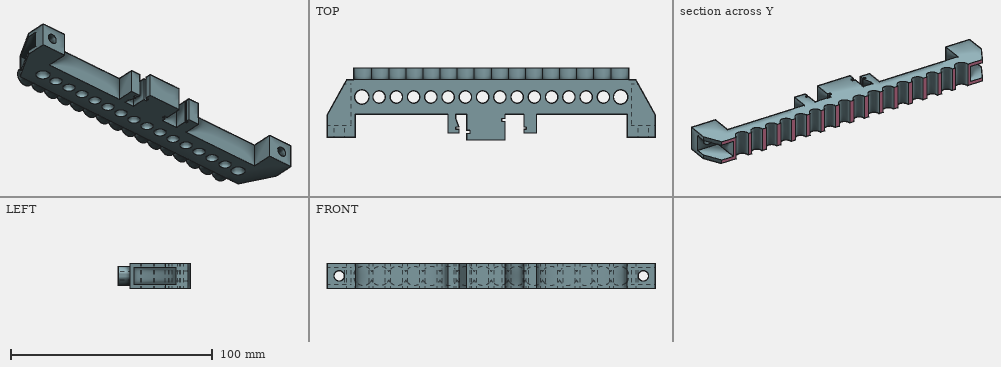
import cadquery as cq

LENGTH = 163.0
TOTAL_DEPTH = 35.9
THICKNESS = 12.5
BLOCK_DROP = 12.7
SCREW_RISE = 5.9
BAR_DEPTH = TOTAL_DEPTH - BLOCK_DROP - SCREW_RISE

LEG_WIDTH = 14.0
LEG_DROP = 11.4
SHOULDER_RUN = 9.8
SHOULDER_DEPTH = 17.6

TERMINAL_COUNT = 16
HOLE_ROW_SPAN = 128.5
HOLE_DIAMETER = 6.0
END_HOLE_DIAMETER = 7.0
SCREW_PITCH = 8.5
SCREW_DIAMETER = 9.5

MOUNT_HOLE_INSET = 6.0
MOUNT_HOLE_DIAMETER = 5.0

POCKET_HEIGHT = 8.3
POCKET_TOP_WALL = 2.1
POCKET_LENGTH = 20.7
POCKET_DEPTH = 11.9

BLOCK_LEFT = -12.2
BLOCK_RIGHT = 6.8
HOOK_DROP = 9.3
LEFT_HOOK_OUTER = -21.5
LEFT_HOOK_WIDTH = 5.5
LEFT_HOOK_ROOT_WIDTH = 3.9
LEFT_HOOK_TAPER_START = 2.0
RIGHT_HOOK_INNER = 16.1
RIGHT_HOOK_WIDTH = 6.4

HOOK_GROOVE_WIDTH = 1.0
HOOK_GROOVE_DROP = 6.8
LEFT_HOOK_GROOVE_DEPTH = LEFT_HOOK_WIDTH - LEFT_HOOK_ROOT_WIDTH
RIGHT_HOOK_GROOVE_DEPTH = 1.1
BLOCK_GROOVE_WIDTH = 1.5
BLOCK_GROOVE_DEPTH = 1.6
BLOCK_LEFT_GROOVE_DROP = 8.6
BLOCK_RIGHT_GROOVE_DROP = 2.8

HALF_LENGTH = LENGTH / 2


def plate(points):
    """Extrude an XY outline through the full thickness."""
    return cq.Workplane("XY").polyline(points).close().extrude(THICKNESS / 2, both=True)


def slab(x_min, x_max, y_min, y_max, height=THICKNESS):
    """Box between X and Y limits, centred on Z = 0."""
    return (
        cq.Workplane("XY")
        .box(x_max - x_min, y_max - y_min, height)
        .translate(((x_min + x_max) / 2, (y_min + y_max) / 2, 0))
    )


def row_positions(span):
    """Evenly spaced X positions of the terminals, centred on X = 0."""
    pitch = span / (TERMINAL_COUNT - 1)
    return [-span / 2 + index * pitch for index in range(TERMINAL_COUNT)]


def bridge():
    """Bar with sloped shoulders and a leg at each end."""
    leg_inner = HALF_LENGTH - LEG_WIDTH
    shoulder_top = HALF_LENGTH - SHOULDER_RUN
    shoulder_base = BAR_DEPTH - SHOULDER_DEPTH
    right_half = [
        (leg_inner, 0),
        (leg_inner, -LEG_DROP),
        (HALF_LENGTH, -LEG_DROP),
        (HALF_LENGTH, shoulder_base),
        (shoulder_top, BAR_DEPTH),
    ]
    left_half = [(-x, y) for x, y in reversed(right_half)]
    return plate(right_half + left_half)


def left_hook():
    """Hook that widens from its root towards its tip."""
    root_x = LEFT_HOOK_OUTER + LEFT_HOOK_ROOT_WIDTH
    tip_x = LEFT_HOOK_OUTER + LEFT_HOOK_WIDTH
    groove_top = -HOOK_GROOVE_DROP + HOOK_GROOVE_WIDTH / 2
    return plate([
        (LEFT_HOOK_OUTER, 0),
        (LEFT_HOOK_OUTER, -HOOK_DROP),
        (tip_x, -HOOK_DROP),
        (tip_x, groove_top),
        (root_x, -LEFT_HOOK_TAPER_START),
        (root_x, 0),
    ])


def groove(x_min, x_max, drop, width):
    """Cutter for a groove through the full thickness."""
    return slab(x_min, x_max, -drop - width / 2, -drop + width / 2)


def mounting_clip():
    """Centre block with a hook on each side, grooves included."""
    left_tip = LEFT_HOOK_OUTER + LEFT_HOOK_WIDTH
    block = slab(BLOCK_LEFT, BLOCK_RIGHT, -BLOCK_DROP, 0)
    right_hook = slab(RIGHT_HOOK_INNER, RIGHT_HOOK_INNER + RIGHT_HOOK_WIDTH, -HOOK_DROP, 0)
    clip = block.union(left_hook()).union(right_hook)
    grooves = [
        (left_tip - LEFT_HOOK_GROOVE_DEPTH, left_tip, HOOK_GROOVE_DROP, HOOK_GROOVE_WIDTH),
        (BLOCK_LEFT, BLOCK_LEFT + BLOCK_GROOVE_DEPTH, BLOCK_LEFT_GROOVE_DROP, BLOCK_GROOVE_WIDTH),
        (BLOCK_RIGHT - BLOCK_GROOVE_DEPTH, BLOCK_RIGHT, BLOCK_RIGHT_GROOVE_DROP, BLOCK_GROOVE_WIDTH),
        (RIGHT_HOOK_INNER, RIGHT_HOOK_INNER + RIGHT_HOOK_GROOVE_DEPTH, HOOK_GROOVE_DROP, HOOK_GROOVE_WIDTH),
    ]
    for x_min, x_max, drop, width in grooves:
        clip = clip.cut(groove(x_min, x_max, drop, width))
    return clip


def y_cylinders(x_positions, diameter, y_min, y_max):
    """Cylinders along Y at the given X positions, centred on Z = 0."""
    cylinders = cq.Workplane("XZ")
    for x in x_positions:
        base = cq.Workplane("XZ", origin=(x, y_max, 0))
        cylinders = cylinders.union(base.circle(diameter / 2).extrude(y_max - y_min))
    return cylinders


def wire_holes():
    """Holes along Z through the bar; the two end holes are larger."""
    centres = [(x, BAR_DEPTH / 2) for x in row_positions(HOLE_ROW_SPAN)]
    end_centres = [centres[0], centres[-1]]
    plane = cq.Workplane("XY")
    inner = plane.pushPoints(centres[1:-1]).circle(HOLE_DIAMETER / 2).extrude(THICKNESS / 2, both=True)
    ends = plane.pushPoints(end_centres).circle(END_HOLE_DIAMETER / 2).extrude(THICKNESS / 2, both=True)
    return inner.union(ends)


def end_pockets():
    """Rectangular pockets opening through the two end faces."""
    y_max = BAR_DEPTH - POCKET_TOP_WALL
    y_min = y_max - POCKET_LENGTH
    left = slab(-HALF_LENGTH, -HALF_LENGTH + POCKET_DEPTH, y_min, y_max, POCKET_HEIGHT)
    return left.union(left.mirror("YZ"))


screw_row = row_positions(SCREW_PITCH * (TERMINAL_COUNT - 1))
screws = y_cylinders(screw_row, SCREW_DIAMETER, BAR_DEPTH, BAR_DEPTH + SCREW_RISE)

mount_x = HALF_LENGTH - MOUNT_HOLE_INSET
mount_holes = y_cylinders([-mount_x, mount_x], MOUNT_HOLE_DIAMETER, -LEG_DROP, BAR_DEPTH)

result = (
    bridge()
    .union(mounting_clip())
    .union(screws)
    .cut(wire_holes())
    .cut(end_pockets())
    .cut(mount_holes)
)